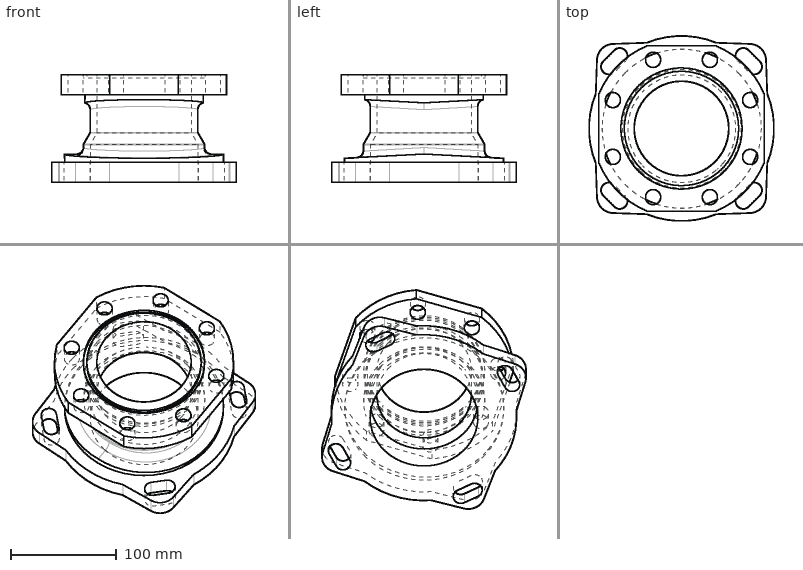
import cadquery as cq
import math

total_height = 101.6
flange_thickness = 19.05
wall = 6.35
neck_radius = 50.8
base_neck_radius = neck_radius + wall
cone_bottom_z = 36.0
cone_top_z = 47.0
cone_blend_radius = 1.5

draft_angle = math.radians(3.0)
shoulder_fillet = 6.35
base_hub_radius = 75.0
base_hub_ridge_z = 26.7
collar_radius = 55.9
collar_ridge_z = 75.1

top_flange_z = total_height - flange_thickness
top_flange_radius = 84.4
top_flange_width = 156.0
top_bolt_circle_radius = 70.0
top_bolt_count = 8
top_bolt_diameter = 14.3
groove_inner_radius = 53.9
groove_outer_radius = base_neck_radius
groove_depth = 3.2

lobe_radius = 87.3125
lobe_half_width = 32.8
side_edge_slope = math.radians(2.0)
corner_start = 64.6
side_count = 4
slot_circle_radius = 89.7
slot_width = 14.3
slot_length = 28.9

clearance = 1.0


def cylinder(radius, start_z, end_z):
    return cq.Workplane("XY").workplane(offset=start_z).circle(radius).extrude(end_z - start_z)


def edges_within(body, radius, bottom_z, top_z):
    """Edges lying entirely inside a square box of half-width radius about Z."""
    box = cq.selectors.BoxSelector((-radius, -radius, bottom_z), (radius, radius, top_z), boundingbox=True)
    return body.edges(box)


def tapered_round(base_radius, upper_radius):
    """Full-height round: base cylinder, cone, then a narrower upper cylinder."""
    profile = [
        (0, 0),
        (base_radius, 0),
        (base_radius, cone_bottom_z),
        (upper_radius, cone_top_z),
        (upper_radius, total_height),
        (0, total_height),
    ]
    return cq.Workplane("XZ").polyline(profile).close().revolve(360, (0, 0, 0), (0, 1, 0))


def neck():
    """Outer neck with both ends of the cone blended."""
    body = tapered_round(base_neck_radius, neck_radius)
    reach = base_neck_radius + clearance
    cone_edges = edges_within(body, reach, cone_bottom_z - clearance, cone_top_z + clearance)
    return cone_edges.fillet(cone_blend_radius)


def bore():
    """Through bore that keeps the same wall as the neck around it."""
    return tapered_round(base_neck_radius - wall, neck_radius - wall)


def drafted_hub(shaft_radius, hub_radius, ridge_z, level_z, shaft_end_z):
    """Hub from level_z to a drafted face, filleted into a round shaft that ends at shaft_end_z.

    The -Y half is made with a single sloping plane, then mirrored across the XZ plane.
    """
    reach = 2 * base_hub_radius
    outward = math.copysign(1, ridge_z - level_z)
    rise = outward * reach * math.tan(draft_angle)
    block_outline = [(reach, level_z), (reach, ridge_z + rise), (-reach, ridge_z - rise), (-reach, level_z)]
    sloped_block = cq.Workplane("YZ").polyline(block_outline).close().extrude(reach, both=True)

    blank_radius = max(hub_radius, shaft_radius + 2 * shoulder_fillet)
    blank = cylinder(blank_radius, 0, total_height).intersect(sloped_block)
    joined = blank.union(cylinder(shaft_radius, level_z, shaft_end_z))
    margin = shaft_radius * math.tan(draft_angle) + clearance
    junction = edges_within(joined, shaft_radius + margin, ridge_z - margin, ridge_z + margin)
    filleted = junction.fillet(shoulder_fillet)

    half_space = cq.Workplane("XY").box(2 * reach, reach, 2 * reach).translate((0, -reach / 2, 0))
    half = filleted.intersect(half_space).intersect(cylinder(hub_radius, 0, total_height))
    return half.union(half.mirror("XZ"))


def top_flange():
    """Round flange with four flats and a ring of bolt holes straddling the axes."""
    disc = cylinder(top_flange_radius, top_flange_z, total_height)
    flats = cq.Workplane("XY").rect(top_flange_width, top_flange_width).extrude(total_height)
    bolt_holes = (
        cq.Workplane("XY")
        .workplane(offset=top_flange_z)
        .polarArray(top_bolt_circle_radius, 180 / top_bolt_count, 360, top_bolt_count)
        .circle(top_bolt_diameter / 2)
        .extrude(flange_thickness)
    )
    return disc.intersect(flats).cut(bolt_holes)


def face_groove():
    """Ring groove in the top face."""
    floor_z = total_height - groove_depth
    outer = cylinder(groove_outer_radius, floor_z, total_height)
    return outer.cut(cylinder(groove_inner_radius, floor_z, total_height))


def quarter_turned(x, y, turns):
    """Point turned clockwise about Z by a number of quarter turns."""
    for _ in range(turns):
        x, y = y, -x
    return (x, y)


def base_flange():
    """Squarish plate with rounded corners, a round lobe on each side and a slot at each corner."""
    lobe_end = math.sqrt(lobe_radius**2 - lobe_half_width**2)
    corner_end = lobe_end - (corner_start - lobe_half_width) * math.tan(side_edge_slope)
    slope_sin = math.sin(side_edge_slope)
    corner_radius = (corner_end - corner_start) / (math.cos(side_edge_slope) - slope_sin)
    corner_mid = corner_start + corner_radius * (math.sin(math.pi / 4) - slope_sin)

    outline = cq.Workplane("XY").moveTo(lobe_half_width, lobe_end)
    for side in range(side_count):
        outline = outline.lineTo(*quarter_turned(corner_start, corner_end, side))
        outline = outline.threePointArc(
            quarter_turned(corner_mid, corner_mid, side),
            quarter_turned(corner_end, corner_start, side),
        )
        outline = outline.lineTo(*quarter_turned(lobe_end, lobe_half_width, side))
        outline = outline.threePointArc(
            quarter_turned(lobe_radius, 0, side),
            quarter_turned(lobe_end, -lobe_half_width, side),
        )
    plate = outline.close().extrude(flange_thickness)

    slots = (
        cq.Workplane("XY")
        .polarArray(slot_circle_radius, 180 / side_count, 360, side_count)
        .slot2D(slot_length, slot_width, 90)
        .extrude(flange_thickness)
    )
    return plate.cut(slots)


base_hub = drafted_hub(
    base_neck_radius, base_hub_radius, base_hub_ridge_z, level_z=0, shaft_end_z=cone_bottom_z - clearance
)
collar = drafted_hub(
    neck_radius, collar_radius, collar_ridge_z, level_z=total_height, shaft_end_z=cone_top_z + clearance
)

outer_body = neck().union(base_flange()).union(base_hub).union(collar).union(top_flange())
result = outer_body.cut(bore()).cut(face_groove())